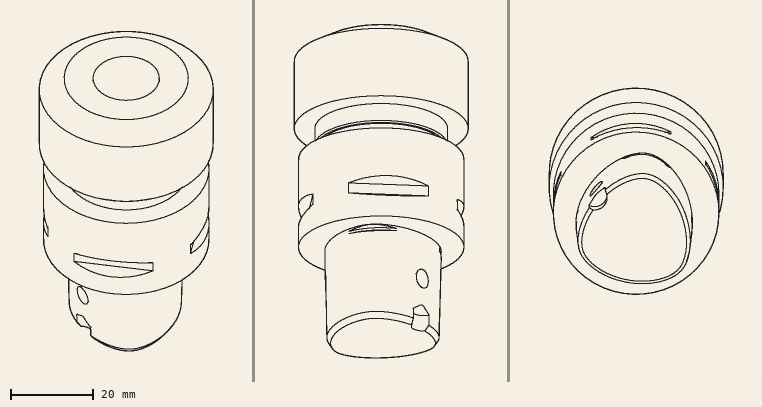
import cadquery as cq
import math

NUT_DIAMETER = 42.0
NUT_RADIUS = NUT_DIAMETER / 2
NUT_FACE_RADIUS = 15.0
NUT_BOTTOM_Z = 54.95
NUT_CHAMFER_Z = 72.5
TOTAL_HEIGHT = 76

COLLAR_RADIUS = 16.0
COLLAR_BOTTOM_Z = 50.15
COLLAR_CHAMFER = 0.4
NECK_RADIUS = 15.1

FLANGE_RADIUS = 20.0
FLANGE_BOTTOM_Z = 24.0
FLANGE_TOP_Z = 47.0
FLAT_COUNT = 4
FIRST_FLAT_ANGLE = 45
FLAT_DISTANCE = 17.5
FLAT_MIDDLE_Z = 32.0
FLAT_HEIGHT = 2.6
FLAT_FLARE = 1.3

BORE_RADIUS = 8.0
BORE_DEPTH = 30.4

SHANK_RADIUS = 14.05
LOBE_HEIGHT = 0.9
LOBE_COUNT = 3
TAPER_TOP_Z = 21.4
TAPER_RATIO = 1 / 20
SHANK_CHAMFER_HEIGHT = 1.45
SHANK_CHAMFER_WIDTH = 0.9
OUTLINE_POINTS = 48

GROOVE_FLOOR_RADIUS = 14.05
GROOVE_FLOOR_HEIGHT = 0.6
GROOVE_MOUTH_RADIUS = 15.2
GROOVE_MOUTH_HEIGHT = 2.0
GROOVE_MIDDLE_Z = 23.1

DIMPLE_Z = 12.5
DIMPLE_RADIUS = 2.35
DIMPLE_DEPTH = 4.1
NOTCH_RADIUS = 3.05
NOTCH_AXIS_Y = -13.3
NOTCH_WALL_HEIGHT = 4.0
NOTCH_TIP_HEIGHT = 2.0

CUT_MARGIN = 3.8


def make_body():
    """Nut, neck and flange as one turned profile."""
    profile = [
        (0, FLANGE_BOTTOM_Z),
        (FLANGE_RADIUS, FLANGE_BOTTOM_Z),
        (FLANGE_RADIUS, FLANGE_TOP_Z),
        (NECK_RADIUS, FLANGE_TOP_Z),
        (NECK_RADIUS, COLLAR_BOTTOM_Z),
        (COLLAR_RADIUS - COLLAR_CHAMFER, COLLAR_BOTTOM_Z),
        (COLLAR_RADIUS, COLLAR_BOTTOM_Z + COLLAR_CHAMFER),
        (COLLAR_RADIUS, NUT_BOTTOM_Z),
        (NUT_RADIUS, NUT_BOTTOM_Z),
        (NUT_RADIUS, NUT_CHAMFER_Z),
        (NUT_FACE_RADIUS, TOTAL_HEIGHT),
        (0, TOTAL_HEIGHT),
    ]
    return cq.Workplane("XZ").polyline(profile).close().revolve(360, (0, 0), (0, 1))


def lobed_wire(mean_radius, z):
    """Closed outline whose tangent distance is mean_radius + LOBE_HEIGHT * cos(LOBE_COUNT * angle)."""
    points = []
    for i in range(OUTLINE_POINTS):
        angle = 2 * math.pi * i / OUTLINE_POINTS
        distance = mean_radius + LOBE_HEIGHT * math.cos(LOBE_COUNT * angle)
        slope = -LOBE_COUNT * LOBE_HEIGHT * math.sin(LOBE_COUNT * angle)
        along_lobe = distance * math.cos(angle) - slope * math.sin(angle)
        across_lobe = distance * math.sin(angle) + slope * math.cos(angle)
        points.append(cq.Vector(-across_lobe, along_lobe, z))
    return cq.Wire.assembleEdges([cq.Edge.makeSpline(points, periodic=True)])


def make_shank():
    """Chamfered foot, taper and straight top, joined by ruled lofts."""
    taper_length = TAPER_TOP_Z - SHANK_CHAMFER_HEIGHT
    lower_radius = SHANK_RADIUS - taper_length * TAPER_RATIO / 2
    sections = [
        lobed_wire(lower_radius - SHANK_CHAMFER_WIDTH, 0),
        lobed_wire(lower_radius, SHANK_CHAMFER_HEIGHT),
        lobed_wire(SHANK_RADIUS, TAPER_TOP_Z),
        lobed_wire(SHANK_RADIUS, FLANGE_BOTTOM_Z),
    ]
    return cq.Workplane(cq.Solid.makeLoft(sections, True))


def make_relief_groove():
    """Ring with flared walls that cuts only the lobe crests."""
    floor_half = GROOVE_FLOOR_HEIGHT / 2
    mouth_half = GROOVE_MOUTH_HEIGHT / 2
    section = [
        (GROOVE_FLOOR_RADIUS, GROOVE_MIDDLE_Z - floor_half),
        (GROOVE_MOUTH_RADIUS, GROOVE_MIDDLE_Z - mouth_half),
        (GROOVE_MOUTH_RADIUS, GROOVE_MIDDLE_Z + mouth_half),
        (GROOVE_FLOOR_RADIUS, GROOVE_MIDDLE_Z + floor_half),
    ]
    return cq.Workplane("XZ").polyline(section).close().revolve(360, (0, 0), (0, 1))


def make_flat_cutter(angle):
    """Wrench flat whose upper and lower walls flare outward."""
    depth = FLANGE_RADIUS - FLAT_DISTANCE
    inner = FLAT_HEIGHT / 2
    outer = inner + FLAT_FLARE
    section = [
        (FLAT_DISTANCE, FLAT_MIDDLE_Z - inner),
        (FLAT_DISTANCE + depth, FLAT_MIDDLE_Z - outer),
        (FLAT_DISTANCE + depth, FLAT_MIDDLE_Z + outer),
        (FLAT_DISTANCE, FLAT_MIDDLE_Z + inner),
    ]
    cutter = cq.Workplane("XZ").polyline(section).close().extrude(FLANGE_RADIUS, both=True)
    return cutter.rotate((0, 0, 0), (0, 0, 1), angle)


def make_bore():
    return cq.Workplane("XY").workplane(offset=TOTAL_HEIGHT).circle(BORE_RADIUS).extrude(-BORE_DEPTH)


def make_dimple():
    surface_y = -(SHANK_RADIUS - LOBE_HEIGHT - (TAPER_TOP_Z - DIMPLE_Z) * TAPER_RATIO / 2)
    start_scale = 1 + CUT_MARGIN / DIMPLE_DEPTH
    return cq.Workplane(cq.Solid.makeCone(
        DIMPLE_RADIUS * start_scale, 0, DIMPLE_DEPTH * start_scale,
        pnt=cq.Vector(0, surface_y - CUT_MARGIN, DIMPLE_Z),
        dir=cq.Vector(0, 1, 0),
    ))


def make_notch():
    """Vertical drilled notch with a conical end."""
    profile = [
        (0, 0),
        (NOTCH_RADIUS, 0),
        (NOTCH_RADIUS, NOTCH_WALL_HEIGHT),
        (0, NOTCH_WALL_HEIGHT + NOTCH_TIP_HEIGHT),
    ]
    drill = cq.Workplane("XZ").polyline(profile).close().revolve(360, (0, 0), (0, 1))
    return drill.translate((0, NOTCH_AXIS_Y, 0))


shank = make_shank().cut(make_relief_groove()).cut(make_dimple()).cut(make_notch())
body = make_body().cut(make_bore())
for index in range(FLAT_COUNT):
    body = body.cut(make_flat_cutter(FIRST_FLAT_ANGLE + index * 360 / FLAT_COUNT))

result = body.union(shank)